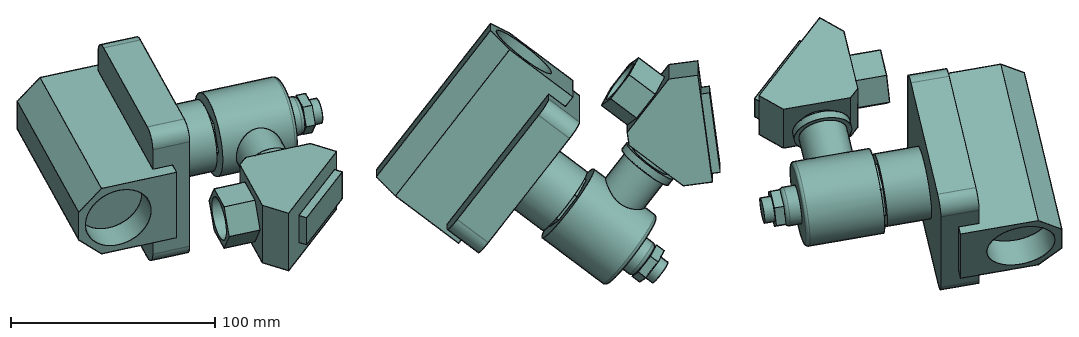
import cadquery as cq
import math


block_left = -45.2
block_length = 92.2
block_half_height = 20.5
block_back = 30.3
block_chamfer = 11.8
port_diameter = 34.1
port_depth = 14.1
flange_side = 82.0
flange_front = 20.0
flange_back = 39.1
flange_corner_radius = 8.2
neck_diameter = 36.2
neck_end = 61.2
neck_hex_flats = 25.5

coil_diameter = 42.2
coil_start = 63.2
coil_end = 102.4
coil_fillet = 1.7
sleeve_diameter = 19.3
sleeve_end = 110.4
sleeve_fillet = 2.1
nut_flats = 17.2
nut_end = 115.2
stem_diameter = 12.7
stem_end = 120.2
socket_diameter = 24.1
collar_diameter = 28.9
collar_start = 37.5
collar_end = 41.4

connector_left = 44.2
connector_bottom = 62.5
connector_side = 48.3
connector_height = 36.2
connector_corner_chamfer = 4.5
connector_end_chamfer = 10.1
outlet_offset = 19.7
outlet_diameter = 21.8
gland_flats = 26.0
gland_length = 16.0
lid_end_gap = 2.4
lid_length = 40.1
lid_thickness = 4.2
lid_width = 16.9

outlet_x = connector_left + outlet_offset
socket_y = connector_bottom + outlet_offset


def rod_y(diameter, start, end):
    """Round rod on the main axis between two Y positions."""
    return cq.Workplane("XZ", origin=(0, start, 0)).circle(diameter / 2).extrude(start - end)


def hex_y(flats, start, end, x=0):
    """Hexagonal prism along Y with two corners pointing along X."""
    corners = flats / math.cos(math.pi / 6)
    return cq.Workplane("XZ", origin=(x, start, 0)).polygon(6, corners).extrude(start - end)


def rod_x(diameter, start, end):
    """Round rod on the side socket axis between two X positions."""
    return cq.Workplane("YZ", origin=(start, socket_y, 0)).circle(diameter / 2).extrude(end - start)


def make_valve_body():
    block_right = block_left + block_length
    block_depth = block_half_height + block_back
    block = (
        cq.Workplane("XY")
        .box(block_length, block_depth, 2 * block_half_height, centered=(False, False, True))
        .translate((block_left, -block_half_height, 0))
        .edges("|X and <Y")
        .chamfer(block_chamfer)
    )
    flange = (
        cq.Workplane("XZ", origin=(0, flange_front, 0))
        .rect(flange_side, flange_side)
        .extrude(flange_front - flange_back)
        .edges("|Y")
        .fillet(flange_corner_radius)
    )
    neck = rod_y(neck_diameter, flange_back, neck_end)
    neck_hex = hex_y(neck_hex_flats, neck_end, coil_start)
    body = block.union(flange).union(neck).union(neck_hex)

    for port_start in (block_left, block_right - port_depth):
        port = cq.Workplane("YZ", origin=(port_start, 0, 0)).circle(port_diameter / 2).extrude(port_depth)
        body = body.cut(port)
    return body


def make_coil():
    housing = rod_y(coil_diameter, coil_start, coil_end).edges(">Y").fillet(coil_fillet)
    sleeve = rod_y(sleeve_diameter, coil_end, sleeve_end).edges(">Y").fillet(sleeve_fillet)
    nut = hex_y(nut_flats, sleeve_end, nut_end)
    stem = rod_y(stem_diameter, nut_end, stem_end)
    socket = rod_x(socket_diameter, 0, collar_start)
    collar = rod_x(collar_diameter, collar_start, collar_end)
    return housing.union(sleeve).union(nut).union(stem).union(socket).union(collar)


def make_connector():
    far_straight = connector_side - connector_end_chamfer
    outline = [
        (0, connector_corner_chamfer),
        (connector_corner_chamfer, 0),
        (far_straight, 0),
        (connector_side, connector_end_chamfer),
        (connector_end_chamfer, connector_side),
        (0, far_straight),
    ]
    shell = (
        cq.Workplane("XY", origin=(connector_left, connector_bottom, 0))
        .polyline(outline)
        .close()
        .extrude(connector_height / 2, both=True)
    )

    slope_plane = cq.Plane(
        origin=(connector_left + connector_end_chamfer, connector_bottom + connector_side, 0),
        xDir=(1, -1, 0),
        normal=(0, 0, 1),
    )
    lid = (
        cq.Workplane(slope_plane)
        .moveTo(lid_end_gap, 0)
        .rect(lid_length, lid_thickness, centered=False)
        .extrude(lid_width / 2, both=True)
    )

    plug = rod_x(outlet_diameter, collar_end, connector_left)
    gland_front = connector_bottom - gland_length
    gland = hex_y(gland_flats, gland_front, connector_bottom, outlet_x)
    gland_bore = rod_y(outlet_diameter, gland_front, connector_bottom).translate((outlet_x, 0, 0))
    return shell.union(lid).union(plug).union(gland).cut(gland_bore)


valve_body = make_valve_body()
coil = make_coil()
connector = make_connector()

result = cq.Compound.makeCompound([valve_body.val(), coil.val(), connector.val()])